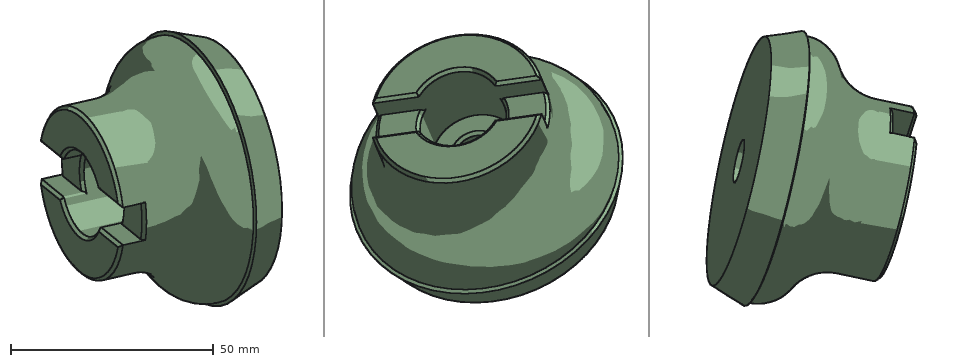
import cadquery as cq
import math

length = 40.0
rim_radius = 34.75
rim_width = 8.9
rim_taper = 20.0

bulge_radius = 33.8
bulge_arc = 10.0
hub_radius = 22.1
hub_length = 10.0
hub_arc = 13.0

slot_width = 10.3
slot_depth = 6.25
bore_radius = 11.0
bore_depth = 20.0
hole_radius = 5.4
edge_chamfer = 0.8
corner_fillet = 0.8


def arc_point(center, radius, angle):
    return (center[0] + radius * math.cos(angle), center[1] + radius * math.sin(angle))


def make_body():
    """Revolve the profile, whose two arcs meet with a common tangent."""
    hub_center = (hub_radius + hub_arc, hub_length)
    bulge_x = bulge_radius - bulge_arc
    center_dx = hub_center[0] - bulge_x
    center_dy = math.sqrt((hub_arc + bulge_arc) ** 2 - center_dx ** 2)
    bulge_center = (bulge_x, hub_length + center_dy)
    tangent_angle = math.atan2(center_dy, center_dx)

    junction = arc_point(bulge_center, bulge_arc, -tangent_angle)
    hub_middle = arc_point(hub_center, hub_arc, math.pi - tangent_angle / 2)
    bulge_middle = arc_point(bulge_center, bulge_arc, -tangent_angle / 2)
    rim_front = length - rim_width
    taper_slope = math.tan(math.radians(rim_taper))
    back_radius = rim_radius - rim_width * taper_slope
    rim_root = rim_front - (rim_radius - bulge_radius) * taper_slope
    return (
        cq.Workplane("XY")
        .lineTo(hub_radius, 0)
        .lineTo(hub_radius, hub_length)
        .threePointArc(hub_middle, junction)
        .threePointArc(bulge_middle, (bulge_radius, bulge_center[1]))
        .lineTo(bulge_radius, rim_root)
        .lineTo(rim_radius, rim_front)
        .lineTo(back_radius, length)
        .lineTo(0, length)
        .close()
        .revolve(360, (0, 0, 0), (0, 1, 0))
    )


def cylinder(radius, depth):
    """A cylinder running from the hub face toward +Y."""
    return cq.Workplane("XZ").circle(radius).extrude(-depth)


def cut_slot(body):
    slot = cq.Workplane("XZ").rect(2 * rim_radius, slot_width).extrude(-slot_depth)
    return body.cut(slot)


def edges_in_plane(body, y):
    """Select the edges that lie wholly in the plane at the given Y."""
    margin = 0.01
    return body.edges(cq.selectors.BoxSelector(
        (-rim_radius, y - margin, -rim_radius),
        (rim_radius, y + margin, rim_radius),
        boundingbox=True,
    ))


body = make_body().cut(cylinder(bore_radius, bore_depth)).cut(cylinder(hole_radius, length))
body = cut_slot(body)

body = edges_in_plane(body, 0).chamfer(edge_chamfer)
body = edges_in_plane(body, slot_depth).edges("%CIRCLE").chamfer(edge_chamfer)
body = edges_in_plane(body, bore_depth).edges(cq.selectors.RadiusNthSelector(0)).chamfer(edge_chamfer)

corner_reach = bore_radius + edge_chamfer
corner_region = cq.selectors.BoxSelector(
    (-corner_reach, 0, -corner_reach), (corner_reach, slot_depth, corner_reach)
)
body = body.edges("|Y").edges(corner_region).fillet(corner_fillet)

result = body